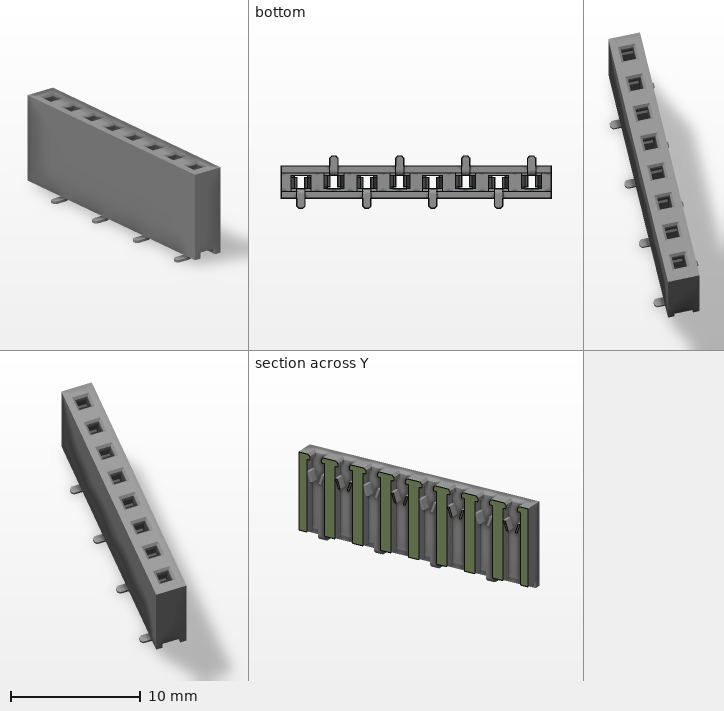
import cadquery as cq

overall_height = 7.52
overall_depth = 4.05

length = 20.82
housing_depth = 2.5
standoff = 0.42

contact_count = 8
pitch = 2.55

mouth_size = 1.0
mouth_chamfer = 0.19
lip_height = 0.5

channel_width = 1.44
channel_height = 0.5

strip = 0.2
strip_width = 1.55
leg_width = 0.65
foot_reach = overall_depth / 2
tip_chamfer = 0.19
bend_inner_radius = 0.2
bend_outer_radius = bend_inner_radius + strip

arm_top_drop = 1.5
arm_height = 0.81
arm_top_gap = strip_width - 2 * strip
arm_bottom_gap = 0.58
arm_end = -0.37

cavity_top = overall_height - lip_height
cavity_bottom = standoff + channel_height
back_face = channel_width / 2
front_face = back_face - strip


def block(x_size, y_min, y_max, z_min, z_max):
    """Box centred on X = 0 between the given Y and Z limits."""
    solid = cq.Workplane("XY").box(x_size, y_max - y_min, z_max - z_min, centered=(True, False, False))
    return solid.translate((0, y_min, z_min))


def place(shape, index):
    """Move a shape with its foot toward +Y to a position; odd ones point toward -Y."""
    x = (index - (contact_count - 1) / 2) * pitch
    turn = 180 * (index % 2)
    return shape.rotate((0, 0, 0), (0, 0, 1), turn).translate((x, 0, 0))


def make_socket():
    """Cutter for one socket: chamfered mouth, pin passage and contact cavity."""
    passage = block(mouth_size, -mouth_size / 2, mouth_size / 2, standoff, overall_height)
    lead_in = (
        cq.Workplane("XY", origin=(0, 0, overall_height))
        .rect(mouth_size + 2 * mouth_chamfer, mouth_size + 2 * mouth_chamfer)
        .workplane(offset=-mouth_chamfer)
        .rect(mouth_size, mouth_size)
        .loft(ruled=True)
    )
    cavity = block(strip_width, -front_face, back_face, cavity_bottom, cavity_top)
    return passage.union(lead_in).union(cavity)


def make_housing():
    body = block(length, -housing_depth / 2, housing_depth / 2, standoff, overall_height)
    body = body.cut(block(length, -back_face, back_face, standoff, cavity_bottom))
    socket = make_socket()
    for index in range(contact_count):
        body = body.cut(place(socket, index))
    return body


def make_leg():
    """Narrow leg dropping through the channel and bent outward into a flat foot."""
    leg = (
        cq.Workplane("YZ")
        .moveTo(front_face, cavity_bottom)
        .lineTo(front_face, bend_outer_radius)
        .radiusArc((front_face + bend_outer_radius, 0), -bend_outer_radius)
        .lineTo(foot_reach, 0)
        .lineTo(foot_reach, strip)
        .lineTo(front_face + bend_outer_radius, strip)
        .radiusArc((back_face, bend_outer_radius), bend_inner_radius)
        .lineTo(back_face, cavity_bottom)
        .close()
        .extrude(leg_width / 2, both=True)
    )
    return leg.edges("|Z and >Y").chamfer(tip_chamfer)


def make_arm(side):
    """Spring arm on the given side of the socket, joined to the back strip."""
    top = overall_height - arm_top_drop
    bottom = top - arm_height
    top_x = arm_top_gap / 2
    bottom_x = arm_bottom_gap / 2
    corners = [
        (side * top_x, top),
        (side * (top_x + strip), top),
        (side * (bottom_x + strip), bottom),
        (side * bottom_x, bottom),
    ]
    return (
        cq.Workplane("XZ", origin=(0, back_face, 0))
        .polyline(corners)
        .close()
        .extrude(back_face - arm_end)
    )


def make_contact():
    back = block(strip_width, front_face, back_face, cavity_bottom, cavity_top)
    contact = back.union(make_leg())
    for side in (-1, 1):
        contact = contact.union(make_arm(side))
    return contact


housing = make_housing()
contact = make_contact()
contacts = [place(contact, index) for index in range(contact_count)]

result = cq.Compound.makeCompound([housing.val(), *[item.val() for item in contacts]])